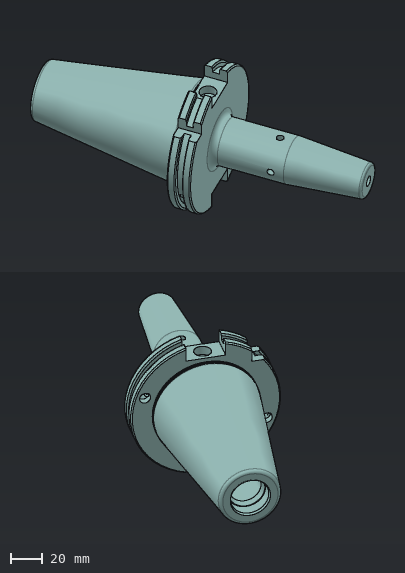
import cadquery as cq
import math


length = 221.8
taper_length = 101.8
gauge_diameter = 69.9
gauge_radius = gauge_diameter / 2
taper_slope = (7 / 24) / 2
tail_radius = gauge_radius - taper_length * taper_slope
tail_rounding = 2.5

land_length = 1.3
relief_width = 0.9
relief_radius = 34.4

flange_start = 104.9
flange_width = 16.0
flange_end = flange_start + flange_width
flange_radius = 48.8
flange_chamfer = 0.9
groove_center = 112.9
groove_width = 4.7
groove_floor_radius = 44.8
groove_flare = 0.7
groove_flare_depth = 1.3

neck_radius = 16.0
neck_fillet = 4.9
nose_start = 170.5
nose_tip_radius = 12.0
nose_rounding = 1.8

pilot_radius = 12.5
pilot_chamfer = 0.7
pilot_chamfer_length = 1.8
pilot_depth = 9.3
countersink_radius = 12.0
countersink_length = 3.5
core_radius = 10.5
core_depth = 55.5
passage_radius = 3.3
drill_half_angle = math.radians(59)

key_width = 25.7
top_key_floor = 37.7
bottom_key_floor = 35.5
notch_offset = 30.0
chip_hole_radius = 5.5
chip_hole_depth = 6.2

coolant_angle = 20.0
coolant_pitch_radius = 42.1
coolant_radius = 3.5
coolant_depth = 4.5
duct_radius = 1.3
duct_inset = 1.3
duct_tilt = 20.0
plug_radius = 1.5

balance_x = 161.9
balance_diameter = 4.7
balance_depth = 6.0
balance_count = 4


def drill_point(radius):
    """Length of the conical end left by a drill of the given radius."""
    return radius / math.tan(drill_half_angle)


def revolve_about_x(profile):
    return profile.close().revolve(360, (0, 0, 0), (1, 0, 0))


def cylinder(start, direction, radius, depth):
    return cq.Workplane(cq.Solid.makeCylinder(radius, depth, start, direction))


def turned_body():
    rim = flange_radius - flange_chamfer
    half_groove = groove_width / 2
    half_mouth = half_groove + groove_flare
    flare_start = flange_radius - groove_flare_depth
    land_end = taper_length + land_length
    relief_end = land_end + relief_width
    profile = (
        cq.Workplane("XY")
        .moveTo(0, 0)
        .lineTo(0, tail_radius)
        .lineTo(taper_length, gauge_radius)
        .lineTo(land_end, gauge_radius)
        .lineTo(land_end, relief_radius)
        .lineTo(relief_end, relief_radius)
        .lineTo(relief_end, gauge_radius)
        .lineTo(flange_start, gauge_radius)
        .lineTo(flange_start, rim)
        .lineTo(flange_start + flange_chamfer, flange_radius)
        .lineTo(groove_center - half_mouth, flange_radius)
        .lineTo(groove_center - half_groove, flare_start)
        .lineTo(groove_center - half_groove, groove_floor_radius)
        .lineTo(groove_center + half_groove, groove_floor_radius)
        .lineTo(groove_center + half_groove, flare_start)
        .lineTo(groove_center + half_mouth, flange_radius)
        .lineTo(flange_end - flange_chamfer, flange_radius)
        .lineTo(flange_end, rim)
        .lineTo(flange_end, neck_radius + neck_fillet)
        .radiusArc((flange_end + neck_fillet, neck_radius), -neck_fillet)
        .lineTo(nose_start, neck_radius)
        .lineTo(length, nose_tip_radius)
        .lineTo(length, 0)
    )
    body = revolve_about_x(profile)
    body = body.faces("<X").edges().fillet(tail_rounding)
    return body.faces(">X").edges().fillet(nose_rounding)


def axial_bore():
    cone_length = drill_point(core_radius) - drill_point(passage_radius)
    profile = (
        cq.Workplane("XY")
        .moveTo(0, 0)
        .lineTo(0, pilot_radius + pilot_chamfer)
        .lineTo(pilot_chamfer_length, pilot_radius)
        .lineTo(pilot_depth, pilot_radius)
        .lineTo(pilot_depth, countersink_radius)
        .lineTo(pilot_depth + countersink_length, core_radius)
        .lineTo(core_depth, core_radius)
        .lineTo(core_depth + cone_length, passage_radius)
        .lineTo(length, passage_radius)
        .lineTo(length, 0)
    )
    return revolve_about_x(profile)


def flange_block(y_min, y_max, z_min, z_max):
    block = cq.Workplane("XY").box(flange_width, y_max - y_min, z_max - z_min, centered=False)
    return block.translate((flange_start, y_min, z_min))


def rim_cuts():
    half_key = key_width / 2
    top_key = flange_block(-half_key, half_key, top_key_floor, flange_radius)
    bottom_key = flange_block(-half_key, half_key, -flange_radius, -bottom_key_floor)
    notch = flange_block(-flange_radius, -notch_offset, notch_offset, flange_radius)
    chip_floor = cq.Vector(groove_center, 0, top_key_floor - chip_hole_depth)
    chip_hole = cylinder(chip_floor, cq.Vector(0, 0, 1), chip_hole_radius, chip_hole_depth)
    return top_key.union(bottom_key).union(notch).union(chip_hole)


def coolant_hole():
    """Face hole on the +Y side with its inclined duct to the axial bore and its plug hole."""
    tip = coolant_depth + drill_point(coolant_radius)
    pocket = revolve_about_x(
        cq.Workplane("XY")
        .moveTo(0, 0)
        .lineTo(0, coolant_radius)
        .lineTo(coolant_depth, coolant_radius)
        .lineTo(tip, 0)
    ).translate((flange_start, coolant_pitch_radius, 0))

    tilt = math.radians(duct_tilt)
    duct_top = coolant_pitch_radius - duct_inset
    duct_start = cq.Vector(flange_start + coolant_depth, duct_top, 0)
    duct_direction = cq.Vector(math.sin(tilt), -math.cos(tilt), 0)
    duct = cylinder(duct_start, duct_direction, duct_radius, duct_top / math.cos(tilt))

    plug_start = cq.Vector(groove_center, coolant_pitch_radius - coolant_radius, 0)
    plug_depth = groove_floor_radius - plug_start.y
    plug = cylinder(plug_start, cq.Vector(0, 1, 0), plug_radius, plug_depth)
    return pocket.union(duct).union(plug)


def balance_hole(angle):
    floor = cq.Vector(balance_x, 0, neck_radius - balance_depth)
    hole = cylinder(floor, cq.Vector(0, 0, 1), balance_diameter / 2, balance_depth)
    return hole.rotate((0, 0, 0), (1, 0, 0), angle)


result = turned_body().cut(axial_bore()).cut(rim_cuts())
for half_turn in (0, 180):
    result = result.cut(coolant_hole().rotate((0, 0, 0), (1, 0, 0), coolant_angle + half_turn))
for index in range(balance_count):
    result = result.cut(balance_hole(index * 360 / balance_count))